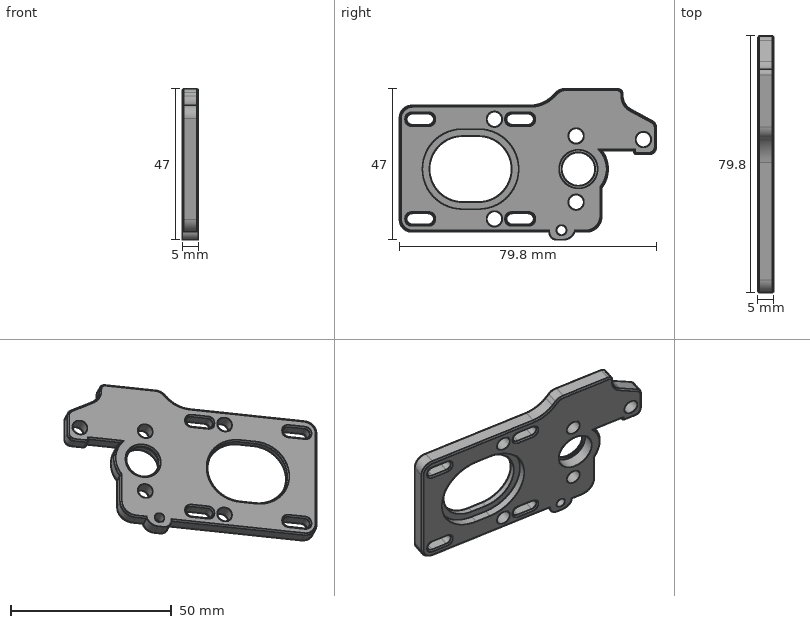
import cadquery as cq
import math

LENGTH = 79.85
HEIGHT = 47.0
THICKNESS = 5.0
CHAMFER = 0.5
CORNER_REACH = 0.1

TAB_DEPTH = 2.5
SHOULDER_TOP = 41.8
MID_HEIGHT = 22.0
CREST_START = 10.4
SLOPE_START = 29.95
LOWER_EDGE = 16.9
ARM_BOTTOM = 26.6
ARM_STEP_UP = 27.7
ARM_STEP_ALONG = 7.0
ARM_SLOPE_LOW = 36.3
ARM_SLOPE_HIGH = 41.9

END_RADIUS = 4.0
LOWER_CORNER_RADIUS = 4.95
CREST_RADIUS = 4.0
VALLEY_RADIUS = 10.0
CREST_CORNER_RADIUS = 1.75
ARM_VALLEY_RADIUS = 4.8
ARM_TIP_RADIUS = 2.5
ARM_LOWER_RADIUS = 2.3
ARM_STEP_RADIUS = 1.0

BORE_ALONG = 24.2
BORE_DIAMETER = 10.3
BULGE_RADIUS = 9.3
BORE_LIP = 1.0
BORE_SEAT_DIAMETER = 12.0

WINDOW_ALONG = 57.7
WINDOW_LENGTH = 25.5
WINDOW_WIDTH = 20.4
WINDOW_LIP = 2.5
WINDOW_RECESS_MARGIN = 2.2

SLOT_ALONG = (42.3, 73.4)
SLOT_LENGTH = 8.5
SLOT_WIDTH = 3.35
ROW_OFFSET = 15.5
HOLE_DIAMETER = 4.7
ROW_HOLE_ALONG = 50.3
BORE_HOLE_ALONG = 24.9
BORE_HOLE_OFFSET = 10.3
ARM_HOLE = (4.0, 31.2)

TAB_START = 25.4
TAB_END = 33.3
TAB_LEAD_RADIUS = 3.8
TAB_CORNER_RADIUS = 2.5
TAB_HOLE = (29.5, 3.0)
TAB_HOLE_DIAMETER = 3.0


def place(along, up):
    """Turn outline distances into (Y, Z) with the plate centred on the origin."""
    return (LENGTH / 2 - along, up - HEIGHT / 2)


def sketch_plane():
    return cq.Workplane("YZ", origin=(-THICKNESS / 2, 0, 0))


def chamfer_faces(solid):
    return solid.faces("<X or >X").edges().chamfer(CHAMFER)


def slot_cutter(along, up, length, width):
    return sketch_plane().center(*place(along, up)).slot2D(length, width).extrude(THICKNESS)


def rounded_polygon(corners):
    """Extrude a polygon given as (along, up, corner radius)."""
    solid = sketch_plane().polyline([place(a, u) for a, u, _ in corners]).close().extrude(THICKNESS)
    for along, up, radius in corners:
        if radius > 0:
            y, z = place(along, up)
            corner = cq.selectors.BoxSelector(
                (-THICKNESS, y - CORNER_REACH, z - CORNER_REACH),
                (THICKNESS, y + CORNER_REACH, z + CORNER_REACH),
            )
            solid = solid.edges("|X").edges(corner).fillet(radius)
    return solid


def make_outline():
    slope_run = HEIGHT - SHOULDER_TOP
    plate = rounded_polygon([
        (CREST_START, HEIGHT, CREST_CORNER_RADIUS),
        (SLOPE_START, HEIGHT, CREST_RADIUS),
        (SLOPE_START + slope_run, SHOULDER_TOP, VALLEY_RADIUS),
        (LENGTH, SHOULDER_TOP, END_RADIUS),
        (LENGTH, TAB_DEPTH, END_RADIUS),
        (LOWER_EDGE, TAB_DEPTH, LOWER_CORNER_RADIUS),
        (LOWER_EDGE, ARM_STEP_UP, 0),
        (ARM_STEP_ALONG, ARM_STEP_UP, 0),
        (ARM_STEP_ALONG, ARM_BOTTOM, ARM_STEP_RADIUS),
        (0, ARM_BOTTOM, ARM_LOWER_RADIUS),
        (0, ARM_SLOPE_LOW, ARM_TIP_RADIUS),
        (CREST_START, ARM_SLOPE_HIGH, ARM_VALLEY_RADIUS),
    ])
    bulge = sketch_plane().center(*place(BORE_ALONG, MID_HEIGHT)).circle(BULGE_RADIUS).extrude(THICKNESS)
    return plate.union(bulge)


def make_tab():
    root = TAB_DEPTH + CHAMFER
    lead_run = math.sqrt(TAB_LEAD_RADIUS**2 - (TAB_LEAD_RADIUS - TAB_DEPTH) ** 2)
    lead_centre = TAB_START + lead_run
    mid_angle = math.atan2(lead_run, TAB_LEAD_RADIUS - TAB_DEPTH) / 2
    lead_middle = (
        lead_centre - TAB_LEAD_RADIUS * math.sin(mid_angle),
        TAB_LEAD_RADIUS * (1 - math.cos(mid_angle)),
    )
    corner_inset = TAB_CORNER_RADIUS * (1 - math.sqrt(0.5))
    return (
        sketch_plane()
        .moveTo(*place(TAB_START, root))
        .lineTo(*place(TAB_START, TAB_DEPTH))
        .threePointArc(place(*lead_middle), place(lead_centre, 0))
        .lineTo(*place(TAB_END - TAB_CORNER_RADIUS, 0))
        .threePointArc(place(TAB_END - corner_inset, corner_inset), place(TAB_END, TAB_CORNER_RADIUS))
        .lineTo(*place(TAB_END, root))
        .close()
        .extrude(THICKNESS)
    )


def cut_chamfered_openings(plate):
    plate = plate.cut(slot_cutter(WINDOW_ALONG, MID_HEIGHT, WINDOW_LENGTH, WINDOW_WIDTH))
    for along in SLOT_ALONG:
        for side in (-1, 1):
            plate = plate.cut(slot_cutter(along, MID_HEIGHT + side * ROW_OFFSET, SLOT_LENGTH, SLOT_WIDTH))
    bore = sketch_plane().center(*place(BORE_ALONG, MID_HEIGHT)).circle(BORE_DIAMETER / 2).extrude(THICKNESS)
    return plate.cut(bore)


def drill(plate, positions, diameter):
    points = [place(along, up) for along, up in positions]
    return plate.cut(sketch_plane().pushPoints(points).circle(diameter / 2).extrude(THICKNESS))


def cut_rear_recesses(plate):
    """Widen the window and the bore from the +X face, leaving a lip at the -X face."""
    recess = slot_cutter(
        WINDOW_ALONG,
        MID_HEIGHT,
        WINDOW_LENGTH + 2 * WINDOW_RECESS_MARGIN,
        WINDOW_WIDTH + 2 * WINDOW_RECESS_MARGIN,
    ).translate((WINDOW_LIP, 0, 0))
    seat = (
        sketch_plane()
        .center(*place(BORE_ALONG, MID_HEIGHT))
        .circle(BORE_SEAT_DIAMETER / 2)
        .extrude(THICKNESS)
        .translate((BORE_LIP, 0, 0))
    )
    return plate.cut(recess).cut(seat)


screw_holes = [ARM_HOLE]
for side in (-1, 1):
    screw_holes.append((ROW_HOLE_ALONG, MID_HEIGHT + side * ROW_OFFSET))
    screw_holes.append((BORE_HOLE_ALONG, MID_HEIGHT + side * BORE_HOLE_OFFSET))

result = chamfer_faces(cut_chamfered_openings(make_outline()))
result = cut_rear_recesses(result)
result = result.union(make_tab())
result = drill(result, screw_holes, HOLE_DIAMETER)
result = drill(result, [TAB_HOLE], TAB_HOLE_DIAMETER)